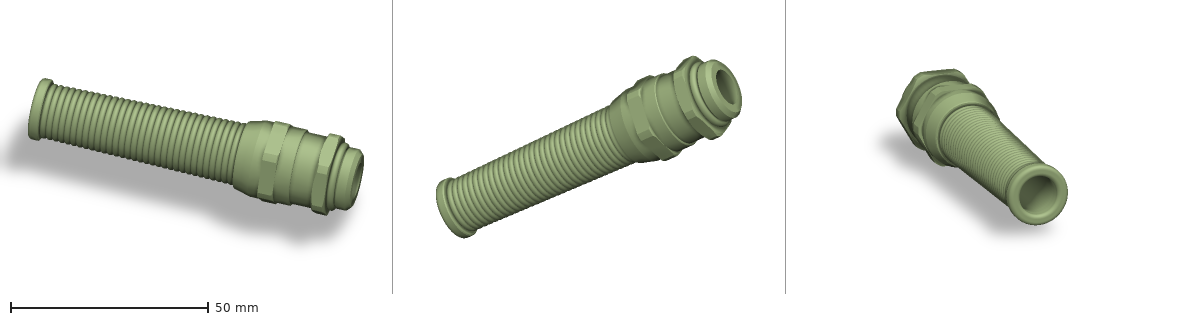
import cadquery as cq
import math


collar_diameter = 15.9
collar_length = 2.8
collar_lip_fillet = 1.0
collar_back_chamfer = 0.25
bead_count = 32
bead_start = 3.0
bead_end = 54.1
first_bead_diameter = 14.2
last_bead_diameter = 16.2
sleeve_bore = 10.2
tail_diameter = 15.0

cap_start = 54.4
cap_front_diameter = 17.4
cap_front_chamfer_depth = 0.3
cap_cone_start_diameter = 17.7
cap_diameter = 19.8
cap_cone_end = 58.8
cap_end = 69.45
cap_end_chamfer = 0.2
cap_hex_start = 61.5
cap_hex_end = 65.4
cap_hex_edge_radial = 0.3
tail_end = cap_hex_start
cap_mouth_diameter = 16.6
cap_mouth_depth = 0.25

hex_across_flats = 20.0
hex_corner_diameter = 22.0
hex_edge_depth = 0.25

spigot_diameter = 17.3
barrel_diameter = 18.6
barrel_end = 75.2
flange_end = 78.8
flange_front_depth = 0.7
flange_front_radial = 1.2
flange_edge_radial = 0.8
body_bore = 9.5
thread_diameter = 16.0
thread_start = 80.8
thread_lead_in = 0.4
thread_tip_chamfer = 1.1
overall_length = 84.7

ring_section = 1.95
ring_outer_diameter = 17.7


def turned(profile):
    """Revolve a profile drawn as (x, radius) about the X axis."""
    return profile.close().revolve(360, (0, 0, 0), (1, 0, 0))


def cylinder(start, end, diameter):
    return cq.Workplane("YZ", origin=(start, 0, 0)).circle(diameter / 2).extrude(end - start)


def rounded_blank(start, end, edge_radial):
    """Cylinder that bounds a hexagon, lightly chamfered at its +X end."""
    blank = cylinder(start, end, hex_corner_diameter)
    return blank.faces(">X").chamfer(hex_edge_depth, edge_radial)


def hexagon(start, end, blank):
    """Hexagon with flats facing +Z and -Z, its corners limited by a turned blank."""
    across_corners = hex_across_flats / math.cos(math.pi / 6)
    prism = cq.Workplane("YZ", origin=(start, 0, 0)).polygon(6, across_corners).extrude(end - start)
    return prism.intersect(blank)


def make_sleeve():
    """Rounded collar, tapering stack of round beads and the plain tail held in the cap nut."""
    pitch = (bead_end - bead_start) / bead_count
    bead_radius = pitch / 2
    growth = (last_bead_diameter - first_bead_diameter) / (bead_count - 1)

    def core_radius(index):
        return (first_bead_diameter + growth * index) / 2 - bead_radius

    collar_radius = collar_diameter / 2
    bore_radius = sleeve_bore / 2
    lip = collar_lip_fillet
    arc_inset = lip * (1 - math.sqrt(0.5))
    profile = (
        cq.Workplane("XY")
        .moveTo(lip, bore_radius)
        .threePointArc((arc_inset, bore_radius + arc_inset), (0, bore_radius + lip))
        .lineTo(0, collar_radius - lip)
        .threePointArc((arc_inset, collar_radius - arc_inset), (lip, collar_radius))
        .lineTo(collar_length - collar_back_chamfer, collar_radius)
        .lineTo(collar_length, collar_radius - collar_back_chamfer)
        .lineTo(collar_length, core_radius(0))
        .lineTo(bead_start, core_radius(0))
    )
    for index in range(bead_count):
        middle = bead_start + (index + 0.5) * pitch
        groove_radius = core_radius(index + 0.5)
        profile = profile.threePointArc(
            (middle, core_radius(index) + bead_radius), (middle + bead_radius, groove_radius)
        )
    profile = (
        profile.lineTo(bead_end, tail_diameter / 2)
        .lineTo(tail_end, tail_diameter / 2)
        .lineTo(tail_end, bore_radius)
    )
    return turned(profile)


def make_cap_nut():
    """Cap nut with a tapered nose and a hexagon, bored for the sleeve tail and the body spigot."""
    cap_radius = cap_diameter / 2
    shell = turned(
        cq.Workplane("XY")
        .moveTo(cap_start, 0)
        .lineTo(cap_start, cap_front_diameter / 2)
        .lineTo(cap_start + cap_front_chamfer_depth, cap_cone_start_diameter / 2)
        .lineTo(cap_cone_end, cap_radius)
        .lineTo(cap_end - cap_end_chamfer, cap_radius)
        .lineTo(cap_end, cap_radius - cap_end_chamfer)
        .lineTo(cap_end, 0)
    )
    blank = rounded_blank(cap_hex_start, cap_hex_end, cap_hex_edge_radial)
    outer = shell.union(hexagon(cap_hex_start, cap_hex_end, blank))
    mouth = cylinder(cap_start, cap_start + cap_mouth_depth, cap_mouth_diameter)
    tail_hole = cylinder(cap_start, tail_end, tail_diameter)
    spigot_hole = cylinder(tail_end, cap_end, spigot_diameter)
    return outer.cut(mouth).cut(tail_hole).cut(spigot_hole)


def make_gland_body():
    """Spigot, barrel, hexagon flange, O-ring groove and chamfered connection thread."""
    groove_radius = ring_outer_diameter / 2 - ring_section
    thread_radius = thread_diameter / 2
    turned_part = turned(
        cq.Workplane("XY")
        .moveTo(tail_end, 0)
        .lineTo(tail_end, spigot_diameter / 2)
        .lineTo(cap_end, spigot_diameter / 2)
        .lineTo(cap_end, barrel_diameter / 2)
        .lineTo(flange_end, barrel_diameter / 2)
        .lineTo(flange_end, groove_radius)
        .lineTo(thread_start, groove_radius)
        .lineTo(thread_start, thread_radius - thread_lead_in)
        .lineTo(thread_start + thread_lead_in, thread_radius)
        .lineTo(overall_length - thread_tip_chamfer, thread_radius)
        .lineTo(overall_length, thread_radius - thread_tip_chamfer)
        .lineTo(overall_length, 0)
    )
    blank = rounded_blank(barrel_end, flange_end, flange_edge_radial)
    blank = blank.faces("<X").chamfer(flange_front_depth, flange_front_radial)
    flange = hexagon(barrel_end, flange_end, blank)
    return turned_part.union(flange).cut(cylinder(tail_end, overall_length, body_bore))


def make_o_ring():
    """O-ring seated between the hexagon flange and the thread."""
    section_radius = ring_section / 2
    centre_x = flange_end + section_radius
    centre_radius = ring_outer_diameter / 2 - section_radius
    section = cq.Workplane("XY").center(centre_x, centre_radius).circle(section_radius)
    return section.revolve(360, (0, -centre_radius, 0), (1, -centre_radius, 0))


sleeve = make_sleeve()
cap_nut = make_cap_nut()
gland_body = make_gland_body()
o_ring = make_o_ring()

result = cq.Compound.makeCompound([sleeve.val(), cap_nut.val(), gland_body.val(), o_ring.val()])